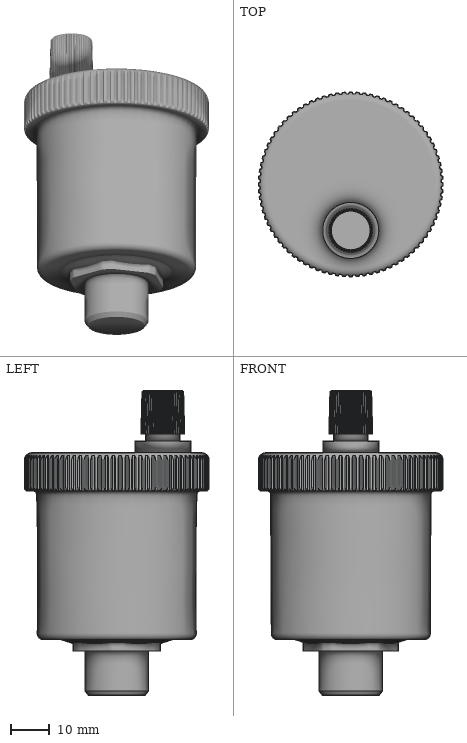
import cadquery as cq
import math

total_height = 79.1
stub_chamfer_height = 1.2
hex_bottom = 11.5
cone_bottom = 13.45
body_bottom = 14.5
body_top = 52.1
collar_bottom = 53.0
collar_top = 63.0
boss_top = 66.0
cap_bottom = 67.8

stub_radius = 16.5 / 2
stub_end_radius = 7.35
hex_across_flats = 22.7
hex_across_corner_flats = 24.7
hex_edge_fillet = 2.4

body_bottom_radius = 20.65
body_top_radius = 20.8
body_fillet = 1.6
cone_radius = 14.55

collar_radius = 47.9 / 2
collar_top_fillet = 2.05
collar_bottom_fillet = 0.95
collar_groove_count = 84
collar_groove_depth = 0.435
collar_groove_mouth = 1.2
collar_groove_floor = 0.55

vent_offset = -11.95
boss_radius = 7.3
stem_radius = 8.9 / 2
cap_bottom_radius = 5.7
cap_top_radius = 10.8 / 2
cap_chamfer = 0.4
cap_groove_count = 50
cap_groove_depth = 0.355
cap_groove_mouth = 0.5
cap_groove_floor = 0.2


def knurl_grooves(count, bottom_radius, top_radius, height, depth, mouth, floor):
    """Ring of trapezoidal grooves along a cylinder or cone standing on Z = 0.

    The first groove is half a pitch from +X, so a tooth is centred on +X.
    """
    outer_half_width = mouth - floor / 2
    lean = math.degrees(math.atan((bottom_radius - top_radius) / height))
    groove = (
        cq.Workplane("XY", origin=(0, 0, -height / 2))
        .moveTo(bottom_radius - depth, -floor / 2)
        .lineTo(bottom_radius + depth, -outer_half_width)
        .lineTo(bottom_radius + depth, outer_half_width)
        .lineTo(bottom_radius - depth, floor / 2)
        .close()
        .extrude(2 * height)
        .rotate((bottom_radius, 0, 0), (bottom_radius, 1, 0), -lean)
        .val()
    )
    pitch = 360 / count
    axis_end = cq.Vector(0, 0, 1)
    ring = [groove.rotate(cq.Vector(), axis_end, (i + 0.5) * pitch) for i in range(count)]
    return cq.Workplane(cq.Compound.makeCompound(ring))


def make_stub_and_body():
    """Revolve the pipe stub, the conical underside and the tapered body."""
    neck_fillet = collar_bottom - body_top
    return (
        cq.Workplane("XZ")
        .lineTo(stub_end_radius, 0)
        .lineTo(stub_radius, stub_chamfer_height)
        .lineTo(stub_radius, cone_bottom)
        .lineTo(hex_across_flats / 2, cone_bottom)
        .lineTo(cone_radius, body_bottom)
        .lineTo(body_bottom_radius - body_fillet, body_bottom)
        .radiusArc((body_bottom_radius, body_bottom + body_fillet), -body_fillet)
        .lineTo(body_top_radius, body_top)
        .radiusArc((body_top_radius + neck_fillet, collar_bottom), neck_fillet)
        .lineTo(0, collar_bottom)
        .close()
        .revolve(360, (0, 0, 0), (0, 1, 0))
    )


def make_collar():
    """Disc with rounded rims and grooves all around its edge."""
    height = collar_top - collar_bottom
    disc = cq.Workplane("XY").circle(collar_radius).extrude(height)
    disc = disc.faces(">Z").edges().fillet(collar_top_fillet)
    disc = disc.faces("<Z").edges().fillet(collar_bottom_fillet)
    grooves = knurl_grooves(
        collar_groove_count,
        collar_radius,
        collar_radius,
        height,
        collar_groove_depth,
        collar_groove_mouth,
        collar_groove_floor,
    )
    return disc.cut(grooves).translate((0, 0, collar_bottom))


def make_hex():
    """Hexagon with flats facing +Y and -Y, its corners cut flat and rounded.

    It reaches up into the conical underside of the body.
    """
    height = body_bottom - hex_bottom
    flats_to_corners = 1 / math.cos(math.pi / 6)
    base = cq.Workplane("XY", origin=(0, 0, hex_bottom))
    hexagon = base.polygon(6, hex_across_flats * flats_to_corners).extrude(height)
    corner_cut = base.polygon(6, hex_across_corner_flats * flats_to_corners).extrude(height)
    corner_cut = corner_cut.rotate((0, 0, 0), (0, 0, 1), 30)
    return hexagon.intersect(corner_cut).edges("|Z").fillet(hex_edge_fillet)


def make_vent():
    """Round boss on the collar with the stem that carries the cap."""
    boss = cq.Workplane("XY", origin=(0, vent_offset, collar_top)).circle(boss_radius)
    stem = cq.Workplane("XY", origin=(0, vent_offset, boss_top)).circle(stem_radius)
    return boss.extrude(boss_top - collar_top).union(stem.extrude(cap_bottom - boss_top))


def make_cap():
    """Slightly tapered cap with fine grooves that follow the taper."""
    height = total_height - cap_bottom
    blank = (
        cq.Workplane("XZ")
        .lineTo(cap_bottom_radius, 0)
        .lineTo(cap_top_radius, height - cap_chamfer)
        .lineTo(cap_top_radius - cap_chamfer, height)
        .lineTo(0, height)
        .close()
        .revolve(360, (0, 0, 0), (0, 1, 0))
    )
    grooves = knurl_grooves(
        cap_groove_count,
        cap_bottom_radius,
        cap_top_radius,
        height - cap_chamfer,
        cap_groove_depth,
        cap_groove_mouth,
        cap_groove_floor,
    )
    return blank.cut(grooves).translate((0, vent_offset, cap_bottom))


result = (
    make_stub_and_body()
    .union(make_hex())
    .union(make_collar())
    .union(make_vent())
    .union(make_cap())
)